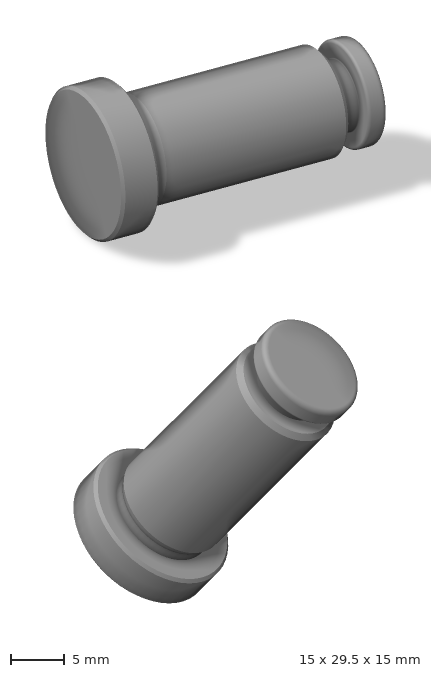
import cadquery as cq

total_length = 29.5

head_radius = 7.5
head_length = 4.0
head_chamfer = 0.3

undercut_radius = 5.1
undercut_length = 1.0

shank_radius = 5.5
shank_chamfer = 0.5

runout_length = 0.8

neck_radius = 3.5
neck_length = 2.0
neck_fillet = 0.1

flange_radius = 5.3
flange_length = 2.0
flange_outer_fillet = 0.5
flange_inner_fillet = 0.3

undercut_start = head_length
runout_start = undercut_start + undercut_length
shank_start = runout_start + runout_length
flange_start = total_length - flange_length
neck_start = flange_start - neck_length


def turn(profile):
    """Full turn about the Y axis of a closed profile drawn in the YZ plane."""
    return profile.close().revolve(360, (0, 0), (1, 0))


def tapered_bar(start, start_radius, end, end_radius):
    """Round bar on the Y axis whose radius runs straight from one end to the other."""
    points = [(start, 0), (start, start_radius), (end, end_radius), (end, 0)]
    return turn(cq.Workplane("YZ").polyline(points))


def cylinder(radius, start, end):
    """Cylinder on the Y axis from start to end."""
    return tapered_bar(start, radius, end, radius)


def make_head():
    """Broad head, chamfered on both rims."""
    return cylinder(head_radius, 0, head_length).faces("<Y or >Y").edges().chamfer(head_chamfer)


def make_undercut():
    """Plain relief behind the head."""
    return cylinder(undercut_radius, undercut_start, runout_start)


def make_runout():
    """Cone that widens from the undercut to the shank."""
    return tapered_bar(runout_start, undercut_radius, shank_start, shank_radius)


def make_shank():
    """Long bearing cylinder, chamfered at the neck end."""
    return cylinder(shank_radius, shank_start, neck_start).faces(">Y").edges().chamfer(shank_chamfer)


def make_neck():
    """Groove floor that flares into the flange with a small fillet."""
    return turn(
        cq.Workplane("YZ")
        .moveTo(neck_start, 0)
        .lineTo(neck_start, neck_radius)
        .lineTo(flange_start - neck_fillet, neck_radius)
        .radiusArc((flange_start, neck_radius + neck_fillet), -neck_fillet)
        .lineTo(flange_start, 0)
    )


def make_flange():
    """Retaining disc with rounded rims, the outer one larger."""
    disc = cylinder(flange_radius, flange_start, total_length)
    disc = disc.faces(">Y").edges().fillet(flange_outer_fillet)
    return disc.faces("<Y").edges().fillet(flange_inner_fillet)


head = make_head()
undercut = make_undercut()
runout = make_runout()
shank = make_shank()
neck = make_neck()
flange = make_flange()

result = cq.Compound.makeCompound(
    [head.val(), undercut.val(), runout.val(), shank.val(), neck.val(), flange.val()]
)